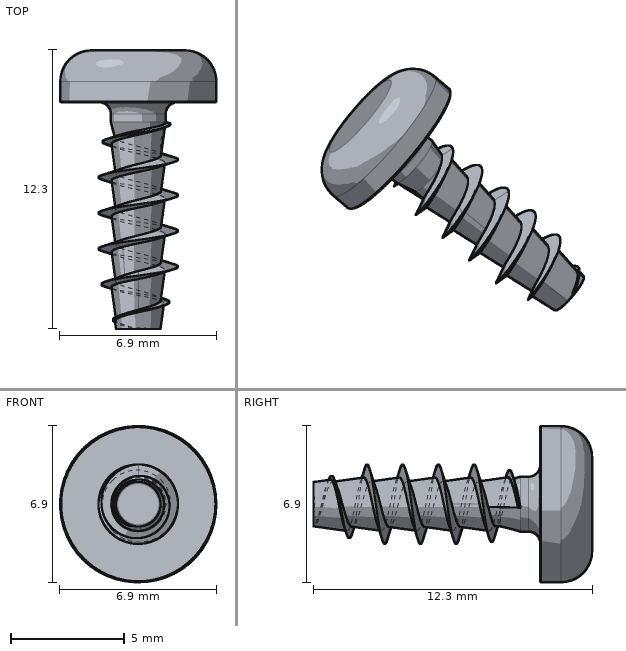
import cadquery as cq
import math


overall_length = 12.3

head_radius = 6.9 / 2
head_height = 2.3
head_edge_radius = 1.39
head_edge_chamfer = 0.05

shank_length = overall_length - head_height
neck_radius = 1.22
neck_fillet = 0.5
neck_length = 0.86

core_radius = 0.98
neck_taper_length = 0.89
root_radius = 1.18
core_taper = math.tan(math.radians(8))
recess_radius = 0.91
recess_depth = 0.06
bury_radius = core_radius - 0.006

pitch = 1.57
crest_radius = 3.5 / 2
first_crest_y = -1.34
flank_slope = math.tan(math.radians(15))
start_turn = -0.27
full_turn = 0.75
fade_turn = 4.0
end_turn = 5.45
start_crest_radius = 1.41
end_crest_radius = 1.02
least_root_offset = 0.04

piece_turns = [start_turn, 0.25, full_turn, 1.5, 2.25, 3.1, fade_turn, 4.75, end_turn]
points_per_piece = 10


def helix_edge(profile_at, corner, turn_a, turn_b):
    """Path that one corner of the axial profile follows between two turn counts."""
    shares = [i / points_per_piece for i in range(points_per_piece + 1)]
    points = []
    for share in shares:
        turn = turn_a + share * (turn_b - turn_a)
        radius, offset = profile_at(turn)[corner]
        angle = 2 * math.pi * turn
        y = first_crest_y - pitch * turn + offset
        points.append(cq.Vector(-radius * math.sin(angle), y, radius * math.cos(angle)))
    return cq.Edge.makeSpline(points, parameters=shares)


def flat_end(points):
    return cq.Face.makeFromWires(cq.Wire.makePolygon(points, close=True))


def helical_bar(profile_at):
    """Helical solid; profile_at(turn) lists its (radius, offset from crest) corners."""
    corners = range(len(profile_at(start_turn)))
    pieces = [
        [helix_edge(profile_at, corner, turn_a, turn_b) for corner in corners]
        for turn_a, turn_b in zip(piece_turns, piece_turns[1:])
    ]
    faces = [
        flat_end([edge.startPoint() for edge in pieces[0]]),
        flat_end([edge.endPoint() for edge in pieces[-1]]),
    ]
    for edges in pieces:
        for edge, next_edge in zip(edges, edges[1:] + edges[:1]):
            faces.append(cq.Face.makeRuledSurface(edge, next_edge))
    bar = cq.Solid.makeSolid(cq.Shell.makeShell(faces))
    return cq.Workplane("XY").newObject([bar.fix()])


def crest_radius_at(turn):
    if turn < full_turn:
        share = (turn - start_turn) / (full_turn - start_turn)
        return start_crest_radius + share * (crest_radius - start_crest_radius)
    share = max(0, turn - fade_turn) / (end_turn - fade_turn)
    return crest_radius + share * (end_crest_radius - crest_radius)


def thread_profile(turn):
    radius = crest_radius_at(turn)
    half_width = (radius - bury_radius) * flank_slope
    return [(bury_radius, half_width), (radius, 0), (bury_radius, -half_width)]


def taper_profile(turn):
    """Wedge that thins the core from each turn down to the next one."""
    full_top = -(crest_radius - root_radius) * flank_slope
    bottom = full_top - (root_radius - bury_radius) / core_taper
    top = -max(least_root_offset, (crest_radius_at(turn) - root_radius) * flank_slope)
    top_radius = bury_radius + (top - bottom) * core_taper
    return [(bury_radius, top), (top_radius, top), (bury_radius, bottom)]


def revolve_y(sketch):
    return sketch.close().revolve(360, (0, 0, 0), (0, 1, 0))


def make_head_and_core():
    arc_mid = math.sqrt(0.5)
    dome_radius = head_radius - head_edge_radius
    dome_y = head_height - head_edge_radius
    fillet_centre = neck_radius + neck_fillet
    return revolve_y(
        cq.Workplane("XY")
        .moveTo(0, head_height)
        .lineTo(dome_radius, head_height)
        .threePointArc(
            (dome_radius + head_edge_radius * arc_mid, dome_y + head_edge_radius * arc_mid),
            (head_radius, dome_y),
        )
        .lineTo(head_radius, head_edge_chamfer)
        .lineTo(head_radius - head_edge_chamfer, 0)
        .lineTo(fillet_centre, 0)
        .threePointArc(
            (fillet_centre - neck_fillet * arc_mid, -neck_fillet * (1 - arc_mid)),
            (neck_radius, -neck_fillet),
        )
        .lineTo(neck_radius, -neck_length)
        .lineTo(core_radius, -neck_length - neck_taper_length)
        .lineTo(core_radius, -shank_length)
        .lineTo(0, -shank_length)
    )


def make_tip_envelope():
    """Space inside the tip cone, opening upwards past the head."""
    top_radius = core_radius + core_taper * shank_length
    return revolve_y(
        cq.Workplane("XY")
        .moveTo(0, -shank_length)
        .lineTo(core_radius, -shank_length)
        .lineTo(top_radius, 0)
        .lineTo(2 * head_radius, 0)
        .lineTo(2 * head_radius, head_height)
        .lineTo(0, head_height)
    )


def make_tip_recess():
    return revolve_y(
        cq.Workplane("XY")
        .moveTo(0, -shank_length)
        .lineTo(recess_radius, -shank_length)
        .lineTo(0, recess_depth - shank_length)
    )


core_taper_strip = helical_bar(taper_profile).intersect(make_tip_envelope())
thread = helical_bar(thread_profile)
result = make_head_and_core().union(core_taper_strip).union(thread).cut(make_tip_recess())